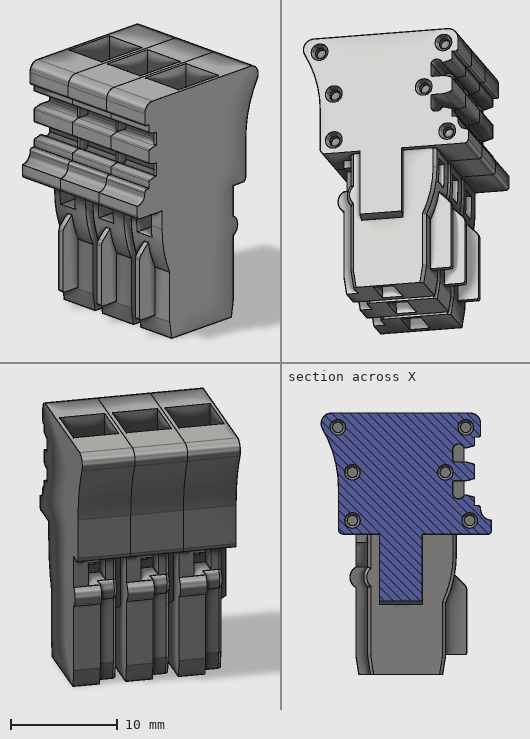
import cadquery as cq
import math

MODULE_COUNT = 3
PITCH = 5.1
HEIGHT = 24.5

HEAD_BOTTOM = 13.13
HEAD_BACK = 14.33
LIP_SIZE = 1.0
TOP_RADIUS = 1.0
SMALL_RADIUS = 0.2
RIB_RADIUS = 0.12
LIP_RADIUS = 0.35
LEDGE_RADIUS = 0.3
BACK_FOOT_RADIUS = 0.5
STEP_DEPTH = 1.57
GROOVE_DEPTH = 2.55
GROOVE_THROAT = 2.35
BROW_BOTTOM = 22.25
GROOVE_HEIGHT = 1.3
UPPER_GROOVE_BOTTOM = 19.92
UPPER_GROOVE_TOP = UPPER_GROOVE_BOTTOM + GROOVE_HEIGHT
LOWER_GROOVE_TOP = 18.13
LOWER_GROOVE_BOTTOM = LOWER_GROOVE_TOP - GROOVE_HEIGHT
GROOVE_FLARE = 0.22
LEDGE_TOP = 15.85
LIP_HEIGHT = 1.35
COVE_BOTTOM = HEAD_BOTTOM + LIP_HEIGHT
COVE_TOP = COVE_BOTTOM + LIP_SIZE

TOP_BACK_Y = 14.95
SWEEP_RADIUS = 11.02

RECESS_DEPTH = 3.6
RECESS_CROWN = 0.37
RECESS_CORNER_RADIUS = 0.15
RECESS_FLOOR_END = 4.48
RECESS_END = 4.78

SOCKETS = [(14.38, 23.15), (2.4, 23.15), (13.0, 18.95), (4.3, 18.95), (13.0, 14.43), (2.03, 14.43)]
SOCKET_MOUTH_RADIUS = 0.8
SOCKET_THROAT_RADIUS = 0.64
SOCKET_BORE_RADIUS = 0.5
SOCKET_MOUTH_DEPTH = 0.22
SOCKET_TAPER_DEPTH = 0.4
SOCKET_DEPTH = 1.0

TONGUE_FRONT, TONGUE_BACK = 6.47, 10.49
TONGUE_EDGE, TONGUE_ROOT = 6.93, 6.55

PLUG_LEFT = 0.69
PLUG_CHAMFER = 0.3
PLUG_FRONT, PLUG_WAIST_FRONT = 3.28, 4.29
PLUG_BACK = 11.6
PLUG_CURVE_TOP, PLUG_CURVE_BOTTOM = 11.3, 6.71
TIP_HEIGHT, TIP_TAPER = 1.72, 0.27
BULGE_TOP, BULGE_BOTTOM = 10.07, 8.15
PLUG_BULGE_HEIGHT, PAD_BULGE_HEIGHT = 0.37, 0.56

FIN_LEFT, FIN_WIDTH = 2.52, 0.6
FIN_FRONT, FIN_BOTTOM = 2.3, 1.85
FIN_SHOULDER, FIN_RADIUS = 8.2, 0.69
PAD_BACK = 12.7

POCKET_LEFT, POCKET_FRONT, POCKET_FLOOR = 0.35, 5.83, 14.7
POCKET_WIDTH, POCKET_LENGTH = 4.35, 5.3
PASSAGE_LEFT, PASSAGE_FRONT = 1.08, 7.47
PASSAGE_WIDTH = 3.38
PASSAGE_TOP_LENGTH, PASSAGE_TIP_LENGTH = 2.05, 1.95
WINDOW_LEFT, WINDOW_BOTTOM = 1.72, 10.1
WINDOW_WIDTH, WINDOW_HEIGHT = 1.95, 2.28


def block(x, y, z, width, length, height):
    """Box placed by its lowest corner."""
    return cq.Workplane("XY").box(width, length, height, centered=False).translate((x, y, z))


def profile(x=0.0):
    """Workplane for a (y, z) outline that is extruded along +X from x."""
    return cq.Workplane("YZ", origin=(x, 0, 0))


def make_head():
    """Head with its grooved front, swept back and rounded edges."""
    top_z = HEIGHT - TOP_RADIUS
    sweep_y = HEAD_BACK + SWEEP_RADIUS
    reach = SWEEP_RADIUS + TOP_RADIUS
    sweep_z = top_z - math.sqrt(reach**2 - (sweep_y - TOP_BACK_Y)**2)
    touch_angle = math.atan2(sweep_z - top_z, sweep_y - TOP_BACK_Y)
    touch = (TOP_BACK_Y + TOP_RADIUS * math.cos(touch_angle), top_z + TOP_RADIUS * math.sin(touch_angle))
    crown_angle = (touch_angle + math.pi / 2) / 2
    crown = (TOP_BACK_Y + TOP_RADIUS * math.cos(crown_angle), top_z + TOP_RADIUS * math.sin(crown_angle))
    half_sweep = touch_angle / 2
    sweep_mid = (sweep_y - SWEEP_RADIUS * math.cos(half_sweep), sweep_z - SWEEP_RADIUS * math.sin(half_sweep))
    cove_reach = LIP_SIZE * math.cos(math.pi / 4)

    outline = (
        profile()
        .moveTo(0, HEAD_BOTTOM)
        .lineTo(0, COVE_BOTTOM)
        .threePointArc((cove_reach, COVE_TOP - cove_reach), (LIP_SIZE, COVE_TOP))
        .lineTo(LIP_SIZE, LEDGE_TOP)
        .lineTo(STEP_DEPTH, LEDGE_TOP)
        .lineTo(STEP_DEPTH, LOWER_GROOVE_BOTTOM - GROOVE_FLARE)
        .lineTo(GROOVE_THROAT, LOWER_GROOVE_BOTTOM)
        .lineTo(GROOVE_DEPTH, LOWER_GROOVE_BOTTOM)
        .lineTo(GROOVE_DEPTH, LOWER_GROOVE_TOP)
        .lineTo(GROOVE_THROAT, LOWER_GROOVE_TOP)
        .lineTo(STEP_DEPTH, LOWER_GROOVE_TOP + GROOVE_FLARE)
        .lineTo(STEP_DEPTH, UPPER_GROOVE_BOTTOM - GROOVE_FLARE)
        .lineTo(GROOVE_THROAT, UPPER_GROOVE_BOTTOM)
        .lineTo(GROOVE_DEPTH, UPPER_GROOVE_BOTTOM)
        .lineTo(GROOVE_DEPTH, UPPER_GROOVE_TOP)
        .lineTo(GROOVE_THROAT, UPPER_GROOVE_TOP)
        .lineTo(STEP_DEPTH, UPPER_GROOVE_TOP + GROOVE_FLARE)
        .lineTo(STEP_DEPTH, BROW_BOTTOM)
        .lineTo(LIP_SIZE, BROW_BOTTOM)
        .lineTo(LIP_SIZE, HEIGHT)
        .lineTo(TOP_BACK_Y, HEIGHT)
        .threePointArc(crown, touch)
        .threePointArc(sweep_mid, (HEAD_BACK, sweep_z))
        .lineTo(HEAD_BACK, HEAD_BOTTOM)
        .close()
    )
    head = outline.extrude(PITCH)

    rounded_edges = [
        (0, HEAD_BOTTOM, LIP_RADIUS),
        (LIP_SIZE, LEDGE_TOP, LEDGE_RADIUS),
        (STEP_DEPTH, LOWER_GROOVE_BOTTOM - GROOVE_FLARE, RIB_RADIUS),
        (STEP_DEPTH, LOWER_GROOVE_TOP + GROOVE_FLARE, RIB_RADIUS),
        (STEP_DEPTH, UPPER_GROOVE_BOTTOM - GROOVE_FLARE, RIB_RADIUS),
        (STEP_DEPTH, UPPER_GROOVE_TOP + GROOVE_FLARE, RIB_RADIUS),
        (LIP_SIZE, BROW_BOTTOM, SMALL_RADIUS),
        (LIP_SIZE, HEIGHT, TOP_RADIUS),
        (HEAD_BACK, HEAD_BOTTOM, BACK_FOOT_RADIUS),
    ]
    for y, z, radius in rounded_edges:
        head = head.edges(cq.NearestToPointSelector((PITCH / 2, y, z))).fillet(radius)
    return head


def make_recess(groove_edge, direction):
    """Round-ended recess behind a groove; direction is +1 when its round end is at the top."""
    middle = (RECESS_DEPTH + GROOVE_DEPTH) / 2
    round_start = groove_edge + direction * GROOVE_HEIGHT
    round_tip = round_start + direction * RECESS_CROWN
    slot = (
        profile()
        .moveTo(GROOVE_DEPTH, groove_edge)
        .lineTo(RECESS_DEPTH, groove_edge)
        .lineTo(RECESS_DEPTH, round_start)
        .threePointArc((middle, round_tip), (GROOVE_DEPTH, round_start))
        .close()
        .extrude(RECESS_END)
    )
    back_corner = cq.NearestToPointSelector((RECESS_END / 2, RECESS_DEPTH, groove_edge))
    slot = slot.edges(back_corner).fillet(RECESS_CORNER_RADIUS)
    sloped_end = (
        cq.Workplane("XY")
        .polyline([(0, GROOVE_DEPTH), (0, RECESS_DEPTH), (RECESS_FLOOR_END, RECESS_DEPTH),
                   (RECESS_END, GROOVE_DEPTH)])
        .close()
        .extrude(HEIGHT)
    )
    return slot.intersect(sloped_end)


def make_socket(y, z):
    """Countersunk blind socket that narrows to a plain bore."""
    return (
        cq.Workplane("XY")
        .polyline([(0, 0), (0, SOCKET_MOUTH_RADIUS), (SOCKET_MOUTH_DEPTH, SOCKET_THROAT_RADIUS),
                   (SOCKET_TAPER_DEPTH, SOCKET_BORE_RADIUS), (SOCKET_DEPTH, SOCKET_BORE_RADIUS),
                   (SOCKET_DEPTH, 0)])
        .close()
        .revolve(360, (0, 0, 0), (1, 0, 0))
        .translate((0, y, z))
    )


def make_tongue():
    length = TONGUE_BACK - TONGUE_FRONT
    height = HEAD_BOTTOM - TONGUE_ROOT
    tongue = block(0, TONGUE_FRONT, TONGUE_ROOT, PLUG_LEFT, length, height)
    slope = (
        cq.Workplane("XZ")
        .polyline([(0, TONGUE_ROOT), (PLUG_LEFT, TONGUE_ROOT), (0, TONGUE_EDGE)])
        .close()
        .extrude(-HEIGHT)
    )
    return tongue.cut(slope)


def plug_outline(x, back, bulge_height):
    """Side outline of the plug with its back face and the bulge on it."""
    drop = PLUG_CURVE_TOP - PLUG_CURVE_BOTTOM
    setback = PLUG_WAIST_FRONT - PLUG_FRONT
    curve_radius = (drop**2 + setback**2) / (2 * setback)
    half_angle = math.asin(drop / curve_radius) / 2
    curve_mid = (PLUG_FRONT + curve_radius * (1 - math.cos(half_angle)),
                 PLUG_CURVE_TOP - curve_radius * math.sin(half_angle))
    bulge_mid = (back + bulge_height, (BULGE_TOP + BULGE_BOTTOM) / 2)
    return (
        profile(x)
        .moveTo(PLUG_FRONT, HEAD_BOTTOM)
        .lineTo(PLUG_FRONT, PLUG_CURVE_TOP)
        .threePointArc(curve_mid, (PLUG_WAIST_FRONT, PLUG_CURVE_BOTTOM))
        .lineTo(PLUG_WAIST_FRONT, TIP_HEIGHT)
        .lineTo(PLUG_WAIST_FRONT + TIP_TAPER, 0)
        .lineTo(back - TIP_TAPER, 0)
        .lineTo(back, TIP_HEIGHT)
        .lineTo(back, BULGE_BOTTOM)
        .threePointArc(bulge_mid, (back, BULGE_TOP))
        .lineTo(back, HEAD_BOTTOM)
        .close()
    )


def make_plug():
    core = plug_outline(PLUG_LEFT, PLUG_BACK, PLUG_BULGE_HEIGHT).extrude(PITCH - PLUG_LEFT)
    core = core.faces("<X").edges("not |Y").chamfer(PLUG_CHAMFER)
    pad = plug_outline(FIN_LEFT, PAD_BACK, PAD_BULGE_HEIGHT).extrude(PITCH - FIN_LEFT)
    return core.union(pad)


def make_fin():
    rise = PLUG_WAIST_FRONT - FIN_FRONT
    fin = (
        profile(FIN_LEFT)
        .polyline([(FIN_FRONT, FIN_BOTTOM), (PLUG_WAIST_FRONT, FIN_BOTTOM),
                   (PLUG_WAIST_FRONT, FIN_SHOULDER + rise), (FIN_FRONT, FIN_SHOULDER)])
        .close()
        .extrude(FIN_WIDTH)
    )
    shoulder = cq.NearestToPointSelector((FIN_LEFT + FIN_WIDTH / 2, FIN_FRONT, FIN_SHOULDER))
    foot = cq.NearestToPointSelector((FIN_LEFT + FIN_WIDTH / 2, FIN_FRONT, FIN_BOTTOM))
    return fin.edges(shoulder).fillet(FIN_RADIUS).edges(foot).fillet(SMALL_RADIUS)


def make_passage():
    """Wire passage from the pocket floor to the tip, with a slightly leaning back wall."""
    top_back = PASSAGE_FRONT + PASSAGE_TOP_LENGTH
    tip_back = PASSAGE_FRONT + PASSAGE_TIP_LENGTH
    return (
        profile(PASSAGE_LEFT)
        .polyline([(PASSAGE_FRONT, 0), (PASSAGE_FRONT, POCKET_FLOOR),
                   (top_back, POCKET_FLOOR), (tip_back, 0)])
        .close()
        .extrude(PASSAGE_WIDTH)
    )


def make_module():
    module = make_head().union(make_tongue()).union(make_plug()).union(make_fin())
    module = module.cut(make_recess(UPPER_GROOVE_BOTTOM, 1)).cut(make_recess(LOWER_GROOVE_TOP, -1))
    for y, z in SOCKETS:
        module = module.cut(make_socket(y, z))
    pocket_depth = HEIGHT - POCKET_FLOOR
    pocket = block(POCKET_LEFT, POCKET_FRONT, POCKET_FLOOR, POCKET_WIDTH, POCKET_LENGTH, pocket_depth)
    window = block(WINDOW_LEFT, 0, WINDOW_BOTTOM, WINDOW_WIDTH, HEIGHT, WINDOW_HEIGHT)
    return module.cut(pocket).cut(make_passage()).cut(window)


module = make_module()
modules = [module.translate((index * PITCH, 0, 0)).val() for index in range(MODULE_COUNT)]

result = cq.Compound.makeCompound(modules)